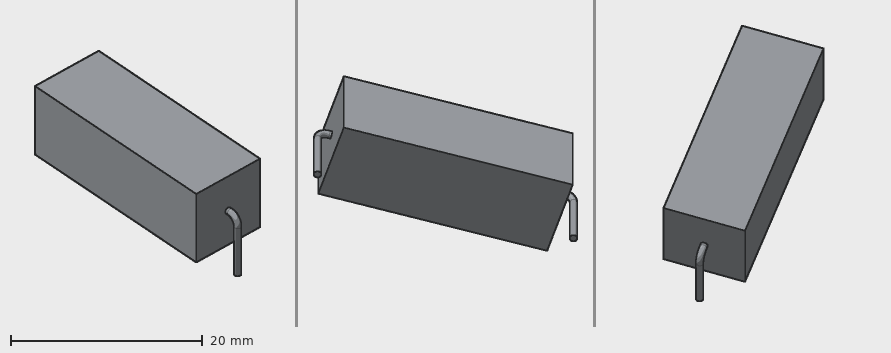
import cadquery as cq

body_length = 25.0
body_width = 9.0
body_height = 9.0

lead_diameter = 0.8
lead_pitch = 27.94
lead_drop = 3.0
bend_radius = 1.2
lead_embed = 1.0

lead_exit_height = body_height / 2
lead_x = lead_pitch / 2
bend_start_x = lead_x - bend_radius
bend_end_z = lead_exit_height - bend_radius


def make_body():
    return cq.Workplane("XY").box(
        body_length, body_width, body_height, centered=(True, True, False)
    )


def make_lead(side):
    """Bent wire on the +X end (side = 1) or the -X end (side = -1)."""
    wire_start_x = body_length / 2 - lead_embed
    centreline = (
        cq.Workplane("XZ")
        .moveTo(side * wire_start_x, lead_exit_height)
        .lineTo(side * bend_start_x, lead_exit_height)
        .tangentArcPoint((side * lead_x, bend_end_z), relative=False)
        .lineTo(side * lead_x, -lead_drop)
    )
    return (
        cq.Workplane("YZ", origin=(side * wire_start_x, 0, lead_exit_height))
        .circle(lead_diameter / 2)
        .sweep(centreline)
    )


result = make_body()
for end in (-1, 1):
    result = result.union(make_lead(end))